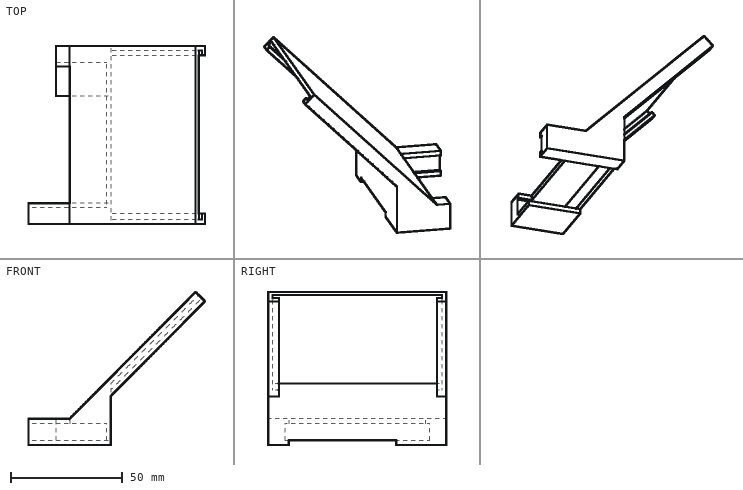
import cadquery as cq
import math

width = 79.6
total_height = 68.45
base_length = 36.8
base_height = 11.8
wall = 2.0

lean_angle = math.radians(45.2)
panel_foot_x = 18.4
panel_thickness = 3 * wall
front_lip_reach = 4.8
back_lip_reach = 4.2
panel_tip_x = panel_foot_x + (total_height - base_height) / math.tan(lean_angle)

tray_plate = 2.15
pocket_side = 7.5
pocket_ceiling_z = base_height - tray_plate
leg_width = 9.3
skin_edge_undercut = 0.2
floor_shelf_width = 22.45
back_leg_setback = 12.25


def box(x0, x1, y0, y1, z0, z1):
    """Box between opposite corners."""
    return cq.Workplane("XY").box(x1 - x0, y1 - y0, z1 - z0, centered=False).translate((x0, y0, z0))


def extrude_profile(points, y0, y1):
    """Extrude an XZ outline between two Y positions."""
    return cq.Workplane("XZ", origin=(0, y0, 0)).polyline(points).close().extrude(y0 - y1)


def layer_height(x, depth):
    """Height at x of the plane lying at a given depth below the panel face."""
    return base_height + (x - panel_foot_x) * math.tan(lean_angle) - depth / math.cos(lean_angle)


def make_body():
    """Solid side outline across the full width."""
    tip_back = (
        panel_tip_x + panel_thickness * math.sin(lean_angle),
        total_height - panel_thickness * math.cos(lean_angle),
    )
    outline = [
        (0, 0),
        (base_length, 0),
        (base_length, layer_height(base_length, panel_thickness)),
        tip_back,
        (panel_tip_x, total_height),
        (panel_foot_x, base_height),
        (0, base_height),
    ]
    return extrude_profile(outline, 0, width)


def panel_layer(top_depth, bottom_depth, y0, y1):
    """Cutter for a layer of the panel, from the back plane of the base past the tip."""
    far_x = panel_tip_x + 2 * panel_thickness
    outline = [
        (base_length, layer_height(base_length, top_depth)),
        (far_x, layer_height(far_x, top_depth)),
        (far_x, layer_height(far_x, bottom_depth)),
        (base_length, layer_height(base_length, bottom_depth)),
    ]
    return extrude_profile(outline, y0, y1)


def cut_panel_channel(body):
    """Sheet slot under the skin, open between the two retaining lips."""
    slot = panel_layer(wall, 2 * wall, wall, width - wall)
    lip_gap = panel_layer(2 * wall, panel_thickness, front_lip_reach, width - back_lip_reach)
    return body.cut(slot).cut(lip_gap)


def cut_base(body):
    """Tray pocket with a rear wall, its ceiling and floor gaps, and the shorter back leg."""
    pocket = box(0, base_length - wall, pocket_side, width - pocket_side, tray_plate, pocket_ceiling_z)
    ceiling_gap_outline = [
        (0, pocket_ceiling_z),
        (panel_foot_x + skin_edge_undercut, pocket_ceiling_z),
        (panel_foot_x, base_height),
        (0, base_height),
    ]
    ceiling_gap = extrude_profile(ceiling_gap_outline, leg_width, width - leg_width)
    floor_gap = box(0, base_length, leg_width, width - floor_shelf_width, 0, tray_plate)
    setback = box(0, back_leg_setback, width / 2, width, 0, base_height)
    return body.cut(pocket).cut(ceiling_gap).cut(floor_gap).cut(setback)


result = cut_base(cut_panel_channel(make_body()))